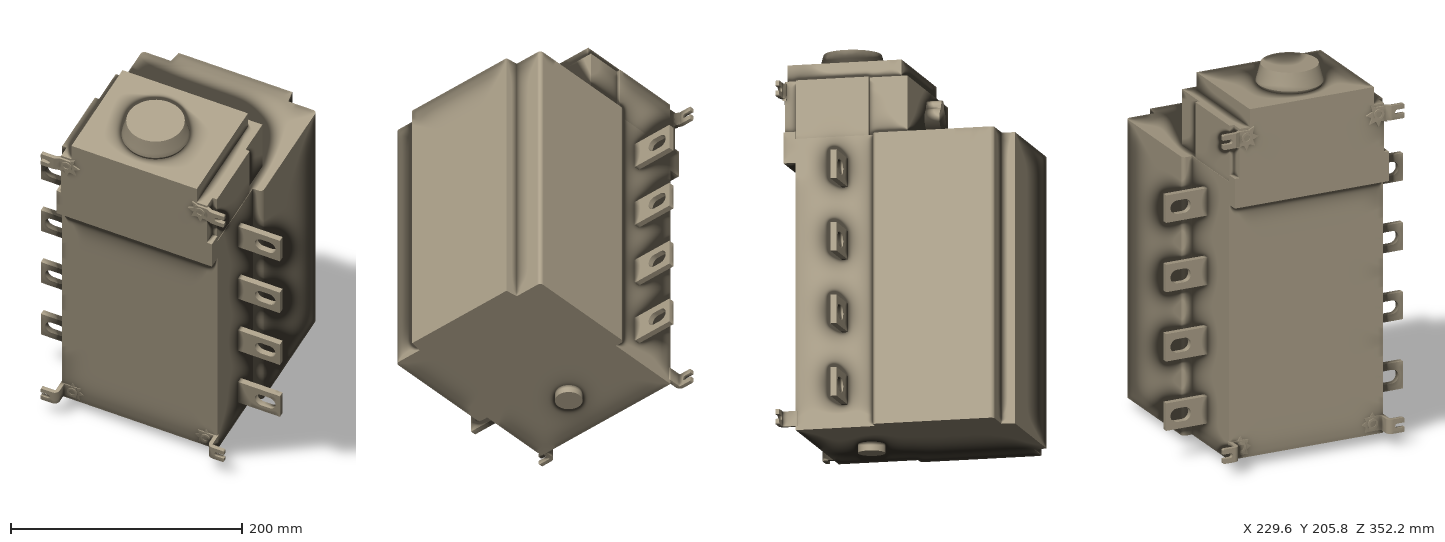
import cadquery as cq
import math

body_half = 74.5
rear_half = 83.8
rear_start = 70.8
rear_end = 179.3
rear_fillet = 3.5
back_pad_half = 56.5
back_pad_half_tip = 54.5
back_y = 191.0
body_height = 257.5

shoulder_z = 309.2
column_half = 74.3
tower_half = 70.5
tower_step_y = 65.0
tower_back_y = 98.5
block_half = 60.2
block_back_y = 91.0
block_top_z = 325.8
hood_depth = 11.0
hood_bottom_z = 236.5
notch_width = 4.5
notch_bottom_z = 263.8

knob_y = 31.7
knob_foot_radius = 28.5
knob_rim_radius = 29.5
knob_top_radius = 25.5
knob_rim_z = 328.5
knob_top_z = 344.5

plug_z = 283.5
plug_radius = 11.0
plug_key_half = 5.0
plug_top_z = 300.5
plug_length = 13.5

stub_y = 48.5
stub_radius = 12.0
stub_length = 7.7

terminal_tip = 114.8
terminal_height = 25.5
terminal_thickness = 5.3
terminal_y = 44.0
terminal_first_z = 32.8
terminal_pitch = 64.0
terminal_count = 4
slot_length = 19.7
slot_height = 12.7
slot_x = 100.7

bracket_tip = 88.0
bracket_foot_end = 60.0
bracket_height = 13.5
sheet = 3.5
tab_front_y = -14.8
tab_slot_height = 4.2
tab_slot_end = 79.0
prong_round = 1.5
lower_bracket_z = 10.2
upper_bracket_z = 300.5
lower_foot_front_y = -1.0
upper_foot_front_y = -12.7
web_inner = 72.0
web_outer = web_inner + sheet
bend_inner_radius = 0.7
tab_bend_radius = 5.0
foot_bend_radius = 2.0
joggle_start = 70.5
joggle_end = 75.5

screw_x = 64.0
head_radius = 5.0
head_socket_radius = 2.8
head_height = 0.7
washer_radius = 6.7
washer_recess = 0.5
tooth_half_angle = 25
lower_tooth_radius = 10.2
upper_tooth_radius = 12.0
lower_tooth_angles = (90, 40, 0, -45)
upper_tooth_angles = (50, 0, -45, -90, -135)


def box(x_min, x_max, y_min, y_max, z_min, z_max):
    """Axis-aligned box between the given limits."""
    return cq.Workplane("XY").box(
        x_max - x_min, y_max - y_min, z_max - z_min, centered=False
    ).translate((x_min, y_min, z_min))


def centred_box(half_width, y_min, y_max, z_min, z_max):
    """Box that is symmetric about the YZ plane."""
    return box(-half_width, half_width, y_min, y_max, z_min, z_max)


def with_mirror(solid):
    """The solid together with its mirror image across the YZ plane."""
    return solid.union(solid.mirror("YZ"))


def along_y(y_start):
    """Workplane with X right and Z up that extrudes toward -Y."""
    return cq.Workplane("XZ", origin=(0, y_start, 0))


def make_body():
    front = centred_box(body_half, 0, rear_end, 0, body_height)
    rear = centred_box(rear_half, rear_start, rear_end, 0, body_height)
    rear = rear.edges("|Z").fillet(rear_fillet)
    back_pad = (
        cq.Workplane("XY")
        .polyline([
            (-back_pad_half, rear_end),
            (back_pad_half, rear_end),
            (back_pad_half_tip, back_y),
            (-back_pad_half_tip, back_y),
        ])
        .close()
        .extrude(body_height)
    )
    return front.union(rear).union(back_pad)


def make_housing():
    column = centred_box(column_half, 0, tower_step_y, body_height, shoulder_z)
    tower = centred_box(tower_half, 0, tower_back_y, body_height, shoulder_z)
    hood = centred_box(body_half, -hood_depth, 0, hood_bottom_z, shoulder_z)
    notch = box(body_half - notch_width, body_half, -hood_depth, 0, notch_bottom_z, shoulder_z)
    block = centred_box(block_half, -hood_depth, block_back_y, shoulder_z, block_top_z)
    return column.union(tower).union(hood.cut(with_mirror(notch))).union(block)


def make_knob():
    return (
        cq.Workplane("XZ")
        .polyline([
            (0, block_top_z),
            (knob_foot_radius, block_top_z),
            (knob_rim_radius, knob_rim_z),
            (knob_top_radius, knob_top_z),
            (0, knob_top_z),
        ])
        .close()
        .revolve(360, (0, 0), (0, 1))
        .translate((0, knob_y, 0))
    )


def make_plug():
    plane = along_y(tower_back_y + plug_length)
    key_centre_z = plug_top_z - plug_key_half
    barrel = plane.center(0, plug_z).circle(plug_radius).extrude(plug_length)
    key = (
        plane.moveTo(-plug_key_half, plug_z)
        .lineTo(plug_key_half, plug_z)
        .lineTo(plug_key_half, key_centre_z)
        .threePointArc((0, plug_top_z), (-plug_key_half, key_centre_z))
        .close()
        .extrude(plug_length)
    )
    return barrel.union(key)


def make_stub():
    return cq.Workplane("XY").center(0, stub_y).circle(stub_radius).extrude(-stub_length)


def make_terminal(z):
    """Slotted bar that passes through the body and sticks out on both sides."""
    half_height = terminal_height / 2
    front_y = terminal_y - terminal_thickness / 2
    rear_y = terminal_y + terminal_thickness / 2
    bar = centred_box(terminal_tip, front_y, rear_y, z - half_height, z + half_height)
    slots = (
        along_y(rear_y)
        .pushPoints([(-slot_x, z), (slot_x, z)])
        .slot2D(slot_length, slot_height)
        .extrude(terminal_thickness)
    )
    return bar.cut(slots)


def finish_bracket(strip, z):
    """Place a bent strip at height z and cut its fork slot."""
    rounded_strip = strip.edges("|Y and >X").fillet(prong_round)
    slot_round = tab_slot_height / 2
    slot_centre = tab_slot_end + slot_round
    slot_depth = sheet * 2
    plane = along_y(tab_front_y + slot_depth)
    slot = (
        plane.moveTo(bracket_tip, slot_round)
        .lineTo(slot_centre, slot_round)
        .threePointArc((tab_slot_end, 0), (slot_centre, -slot_round))
        .lineTo(bracket_tip, -slot_round)
        .close()
        .extrude(slot_depth)
    )
    return rounded_strip.cut(slot).translate((0, 0, z))


def bracket_strip(foot_front_y, front_bend, back_bend):
    """Strip whose foot and tab are joined by a step between two pairs of bend points."""
    foot_front_x, tab_front_x = front_bend
    foot_back_x, tab_back_x = back_bend
    tab_back_y = tab_front_y + sheet
    foot_back_y = foot_front_y + sheet
    return (
        cq.Workplane("XY", origin=(0, 0, -bracket_height / 2))
        .polyline([
            (bracket_foot_end, foot_front_y),
            (foot_front_x, foot_front_y),
            (tab_front_x, tab_front_y),
            (bracket_tip, tab_front_y),
            (bracket_tip, tab_back_y),
            (tab_back_x, tab_back_y),
            (foot_back_x, foot_back_y),
            (bracket_foot_end, foot_back_y),
        ])
        .close()
        .extrude(bracket_height)
    )


def make_lower_bracket():
    """Z-shaped bracket with rounded bends that reaches forward from the body."""
    strip = bracket_strip(lower_foot_front_y, (web_inner, web_inner), (web_outer, web_outer))
    bends = [
        (web_inner, tab_front_y, tab_bend_radius),
        (web_outer, tab_front_y + sheet, bend_inner_radius),
        (web_inner, lower_foot_front_y, bend_inner_radius),
        (web_outer, lower_foot_front_y + sheet, foot_bend_radius),
    ]
    for x, y, radius in bends:
        nearest = cq.selectors.NearestToPointSelector((x, y, 0))
        strip = strip.edges("|Z").edges(nearest).fillet(radius)
    return finish_bracket(strip, lower_bracket_z)


def make_upper_bracket():
    """Nearly flat bracket with a shallow joggle, seated on the hood."""
    bends = (joggle_start, joggle_end)
    return finish_bracket(bracket_strip(upper_foot_front_y, bends, bends), upper_bracket_z)


def make_screw(foot_front_y, z, tooth_radius, tooth_angles):
    """Socket screw head on the foot, with a toothed washer set just below the foot's front face."""
    head = along_y(foot_front_y).circle(head_radius).circle(head_socket_radius).extrude(head_height)
    washer_depth = sheet - washer_recess
    washer_plane = along_y(foot_front_y + sheet)
    washer = washer_plane.circle(washer_radius).extrude(washer_depth)
    for angle in tooth_angles:
        corners = [(0, 0)]
        for turn, radius in (
            (-tooth_half_angle, washer_radius),
            (0, tooth_radius),
            (tooth_half_angle, washer_radius),
        ):
            direction = math.radians(angle + turn)
            corners.append((radius * math.cos(direction), radius * math.sin(direction)))
        washer = washer.union(washer_plane.polyline(corners).close().extrude(washer_depth))
    screw = head.union(washer).mirror("YZ")
    return screw.translate((screw_x, 0, z))


def make_mounts():
    """The brackets and screws of the +X side."""
    lower_screw = make_screw(
        lower_foot_front_y, lower_bracket_z, lower_tooth_radius, lower_tooth_angles
    )
    upper_screw = make_screw(
        upper_foot_front_y, upper_bracket_z, upper_tooth_radius, upper_tooth_angles
    )
    return make_lower_bracket().union(make_upper_bracket()).union(lower_screw).union(upper_screw)


result = make_body().union(make_housing()).union(make_knob()).union(make_plug()).union(make_stub())
for row in range(terminal_count):
    result = result.union(make_terminal(terminal_first_z + row * terminal_pitch))
result = result.union(with_mirror(make_mounts()))